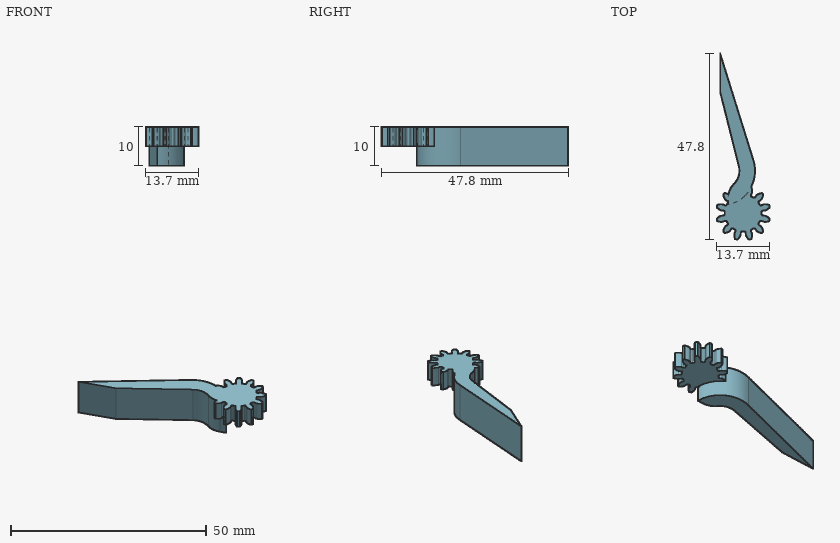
import cadquery as cq
import math


blade_height = 10.0
gear_thickness = blade_height / 2

tooth_count = 12
module = 1.0
pressure_angle = math.radians(20)
pitch_radius = module * tooth_count / 2
tip_radius = pitch_radius + module
dedendum_factor = 1.25
root_radius = pitch_radius - dedendum_factor * module
base_radius = pitch_radius * math.cos(pressure_angle)
root_fillet = 0.3
tooth_pitch = 2 * math.pi / tooth_count
first_tooth = tooth_pitch / 2
flank_steps = 6

tip_x = -5.95
tip_y = 41.0
tip_facet_length = 10.0
bend_x = -5.75
bend_y = 10.8
bend_inner_radius = 4.75
bend_outer_radius = 8.8
tail_x = -3.88
tail_top_y = 3.9


def polar(radius, angle):
    return (radius * math.cos(angle), radius * math.sin(angle))


def on_bend(radius, angle):
    x, y = polar(radius, angle)
    return (bend_x + x, bend_y + y)


def bend_tangent_angle(point, radius):
    """Angle on the bend circle where the line from a point above meets it tangentially."""
    dx = point[0] - bend_x
    dy = point[1] - bend_y
    return math.atan2(dy, dx) - math.acos(radius / math.hypot(dx, dy))


def involute(angle):
    return math.tan(angle) - angle


def tooth_half_angle(radius):
    """Half the angle a tooth spans at a radius; the flank is radial below the base circle."""
    half_at_base = tooth_pitch / 4 + involute(pressure_angle)
    if radius <= base_radius:
        return half_at_base
    return half_at_base - involute(math.acos(base_radius / radius))


def flank(tooth_angle, side):
    """Points from the base circle to the tip along one flank (side is -1 or +1)."""
    points = []
    for step in range(flank_steps + 1):
        radius = base_radius + (tip_radius - base_radius) * (step / flank_steps) ** 2
        points.append(polar(radius, tooth_angle + side * tooth_half_angle(radius)))
    return points


def make_gear():
    root_half_angle = tooth_half_angle(root_radius)
    outline = cq.Workplane("XY").moveTo(*polar(root_radius, first_tooth - root_half_angle))
    for index in range(tooth_count):
        angle = first_tooth + index * tooth_pitch
        rising = flank(angle, -1)
        falling = flank(angle, 1)[::-1]
        outline = outline.lineTo(*rising[0]).spline(rising[1:], includeCurrent=True)
        outline = outline.threePointArc(polar(tip_radius, angle), falling[0])
        outline = outline.spline(falling[1:], includeCurrent=True)
        outline = outline.lineTo(*polar(root_radius, angle + root_half_angle))
        next_start = polar(root_radius, angle + tooth_pitch - root_half_angle)
        outline = outline.threePointArc(polar(root_radius, angle + tooth_pitch / 2), next_start)
    gear = outline.close().extrude(gear_thickness)

    mid_root = (root_radius + base_radius) / 2
    root_edges = gear.edges("|Z").filter(
        lambda edge: math.hypot(edge.Center().x, edge.Center().y) < mid_root
    )
    gear = root_edges.fillet(root_fillet)
    return gear.translate((0, 0, blade_height - gear_thickness))


def make_blade():
    tip = (tip_x, tip_y)
    facet_end = (tip_x, tip_y - tip_facet_length)

    offset_x = tail_x - bend_x
    offset_y = tail_top_y - bend_y
    offset_squared = offset_x**2 + offset_y**2
    tail_radius = (offset_squared - bend_inner_radius**2) / (2 * (bend_inner_radius - offset_x))
    tail_center_x = tail_x + tail_radius
    join_angle = math.atan2(offset_y, tail_center_x - bend_x)
    tail_mid_x, tail_mid_y = polar(tail_radius, math.pi + join_angle / 2)
    tail_mid = (tail_center_x + tail_mid_x, tail_top_y + tail_mid_y)

    inner_start = bend_tangent_angle(facet_end, bend_inner_radius)
    outer_start = bend_tangent_angle(tip, bend_outer_radius)
    outer_end = -math.acos(offset_x / bend_outer_radius)

    outline = (
        cq.Workplane("XY")
        .moveTo(*tip)
        .lineTo(*facet_end)
        .lineTo(*on_bend(bend_inner_radius, inner_start))
        .threePointArc(
            on_bend(bend_inner_radius, (inner_start + join_angle) / 2),
            on_bend(bend_inner_radius, join_angle),
        )
        .threePointArc(tail_mid, (tail_x, tail_top_y))
        .lineTo(*on_bend(bend_outer_radius, outer_end))
        .threePointArc(
            on_bend(bend_outer_radius, (outer_start + outer_end) / 2),
            on_bend(bend_outer_radius, outer_start),
        )
        .close()
    )
    return outline.extrude(blade_height)


result = make_blade().union(make_gear())